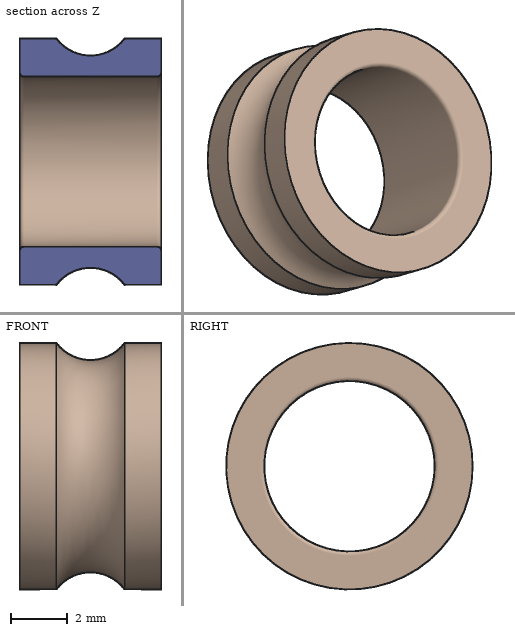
import cadquery as cq

width = 5.0
outer_diameter = 8.7
bore_diameter = 6.0
bore_edge_radius = 0.15
groove_radius = 1.5
groove_depth = 0.6

outer_radius = outer_diameter / 2
groove_center_radius = outer_radius - groove_depth + groove_radius


def make_ring():
    """Plain ring with a through bore."""
    return (
        cq.Workplane("YZ")
        .circle(outer_radius)
        .circle(bore_diameter / 2)
        .extrude(width / 2, both=True)
    )


def round_bore_edges(ring):
    """Round the bore edge on both end faces."""
    bore_edges = ring.edges(cq.selectors.RadiusNthSelector(0))
    return bore_edges.fillet(bore_edge_radius)


def make_groove_cutter():
    """Torus whose circular section forms the groove around the rim."""
    return cq.Workplane(
        cq.Solid.makeTorus(
            groove_center_radius,
            groove_radius,
            pnt=cq.Vector(0, 0, 0),
            dir=cq.Vector(1, 0, 0),
        )
    )


result = round_bore_edges(make_ring()).cut(make_groove_cutter())